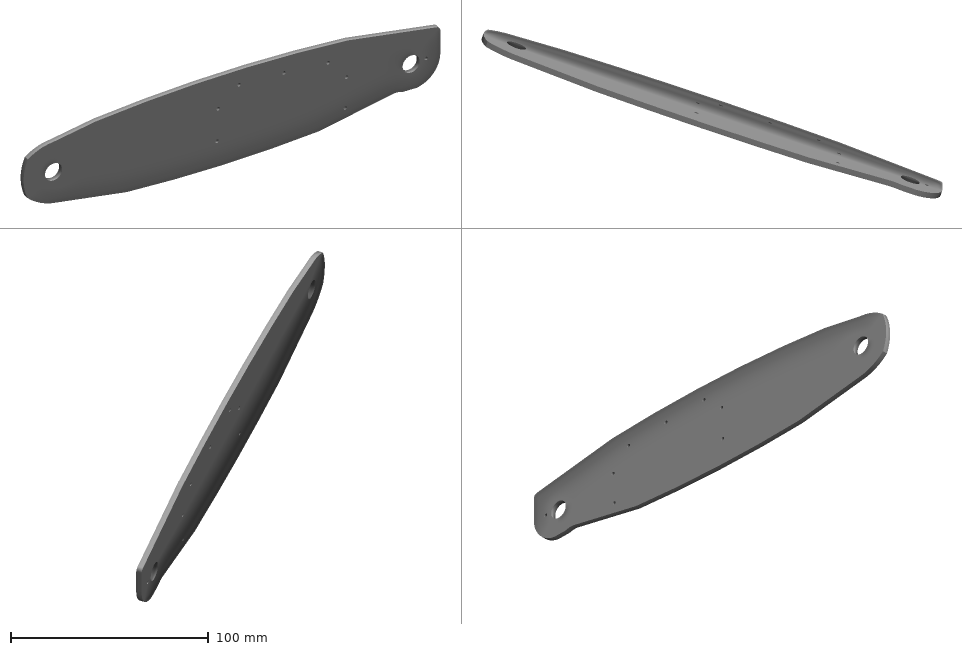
import cadquery as cq

length = 246.0
height = 53.7
thickness = 3.0
half_length = length / 2
half_height = height / 2

pivot_hole_diameter = 10.0
pivot_holes = [(105.8, -2.2), (-105.3, 1.0)]
pin_hole_diameter = 2.0
pin_holes = [
    (114.7, -1.7),
    (56.9, 14.3),
    (30.8, 16.5),
    (4.2, 18.0),
    (67.7, 2.2),
    (67.0, -16.0),
    (-8.0, 7.6),
    (-8.9, -11.5),
]

square_corner = (half_length, 14.5)
square_corner_radius = 2.5
top_arc_start = (68.2, 23.9)
top_arc_crown = (-6.0, half_height)
top_arc_end = (-80.2, 23.1)
nose_top = (-105.3, 19.0)
nose_upper_middle = (-115.2, 16.5)
nose_upper_corner = (-120.5, 13.3)
nose_tip = (-half_length, 1.0)
nose_lower_corner = (-120.8, -9.5)
nose_lower_middle = (-114.5, -14.3)
nose_bottom = (-107.0, -17.2)
bottom_arc_start = (-62.0, -24.9)
bottom_arc_crown = (-8.9, -half_height)
bottom_arc_end = (51.7, -24.9)
neck_start = (94.3, -16.7)
neck_middle = (97.5, -16.5)
heel_start = (101.0, -17.2)
heel_bottom = (109.0, -17.5)
heel_middle = (118.6, -12.3)
heel_end = (half_length, -1.0)


def make_plate():
    """Tapered plate with bowed long edges and rounded ends."""
    outline = (
        cq.Workplane("YZ")
        .moveTo(*square_corner)
        .lineTo(*top_arc_start)
        .threePointArc(top_arc_crown, top_arc_end)
        .lineTo(*nose_top)
        .threePointArc(nose_upper_middle, nose_upper_corner)
        .threePointArc(nose_tip, nose_lower_corner)
        .threePointArc(nose_lower_middle, nose_bottom)
        .lineTo(*bottom_arc_start)
        .threePointArc(bottom_arc_crown, bottom_arc_end)
        .lineTo(*neck_start)
        .threePointArc(neck_middle, heel_start)
        .lineTo(*heel_bottom)
        .threePointArc(heel_middle, heel_end)
        .close()
    )
    plate = outline.extrude(thickness / 2, both=True)
    corner_edge = cq.selectors.NearestToPointSelector((0, *square_corner))
    return plate.edges("|X").edges(corner_edge).fillet(square_corner_radius)


def make_drills(centres, diameter):
    """Cylinders through the full thickness at the given centres."""
    return cq.Workplane("YZ").pushPoints(centres).circle(diameter / 2).extrude(thickness, both=True)


result = (
    make_plate()
    .cut(make_drills(pivot_holes, pivot_hole_diameter))
    .cut(make_drills(pin_holes, pin_hole_diameter))
)